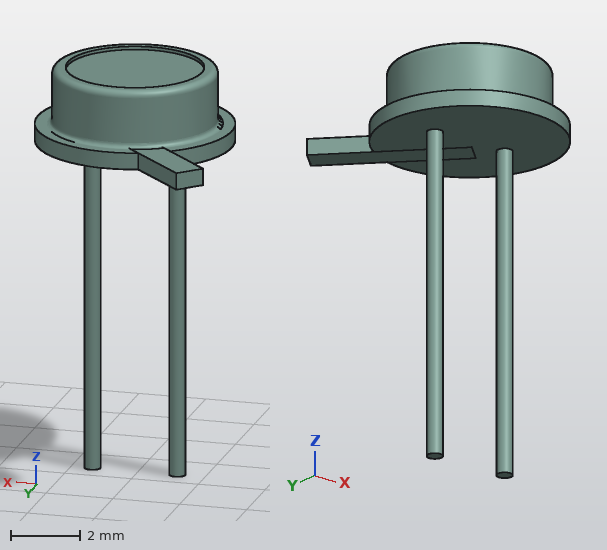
import cadquery as cq

TOTAL_HEIGHT = 12.2

BASE_DIAMETER = 5.8
BASE_THICKNESS = 0.5
CAP_DIAMETER = 4.8
CAP_HEIGHT = 1.7
RIM_ROUND_RADIUS = 0.2
FOOT_FILLET_RADIUS = 0.15

WINDOW_DIAMETER = 4.0
WINDOW_RECESS = 0.1

TAB_WIDTH = 0.89
TAB_LENGTH = 4.8
TAB_OFFSET = 0.45
TAB_ANGLE = 135.0

PIN_DIAMETER = 0.48
PIN_SPACING = 2.54

BASE_TOP = BASE_THICKNESS
CAP_TOP = BASE_TOP + CAP_HEIGHT
PIN_LENGTH = TOTAL_HEIGHT - CAP_TOP


def make_tab():
    """Flat bar as thick as the base, drawn along +X and then turned about Z."""
    return (
        cq.Workplane("XY")
        .center(0, -TAB_OFFSET - TAB_WIDTH)
        .rect(TAB_LENGTH, TAB_WIDTH, centered=False)
        .extrude(BASE_THICKNESS)
        .rotate((0, 0, 0), (0, 0, 1), TAB_ANGLE)
    )


def make_housing(slot):
    """Base and cap revolved about Z as one piece, with the tab slot cut out of the base."""
    base_radius = BASE_DIAMETER / 2
    wall_radius = CAP_DIAMETER / 2
    bore_radius = WINDOW_DIAMETER / 2
    profile = (
        cq.Workplane("XZ")
        .lineTo(base_radius, 0)
        .lineTo(base_radius, BASE_TOP)
        .lineTo(wall_radius + FOOT_FILLET_RADIUS, BASE_TOP)
        .radiusArc((wall_radius, BASE_TOP + FOOT_FILLET_RADIUS), FOOT_FILLET_RADIUS)
        .lineTo(wall_radius, CAP_TOP - RIM_ROUND_RADIUS)
        .radiusArc((wall_radius - RIM_ROUND_RADIUS, CAP_TOP), -RIM_ROUND_RADIUS)
        .lineTo(bore_radius, CAP_TOP)
        .lineTo(bore_radius, BASE_TOP)
        .lineTo(0, BASE_TOP)
        .close()
    )
    return profile.revolve(360, (0, 0, 0), (0, 1, 0)).cut(slot)


def make_window():
    """Round plug standing on the floor of the cap bore."""
    return (
        cq.Workplane("XY", origin=(0, 0, BASE_TOP))
        .circle(WINDOW_DIAMETER / 2)
        .extrude(CAP_HEIGHT - WINDOW_RECESS)
    )


def make_pin(x):
    """Straight round pin hanging from the underside of the base."""
    return cq.Workplane("XY").center(x, 0).circle(PIN_DIAMETER / 2).extrude(-PIN_LENGTH)


tab = make_tab()
housing = make_housing(slot=tab)
window = make_window()
pins = [make_pin(side * PIN_SPACING / 2) for side in (-1, 1)]

result = cq.Compound.makeCompound(
    [housing.solids().val(), tab.val(), window.val(), *[pin.val() for pin in pins]]
)